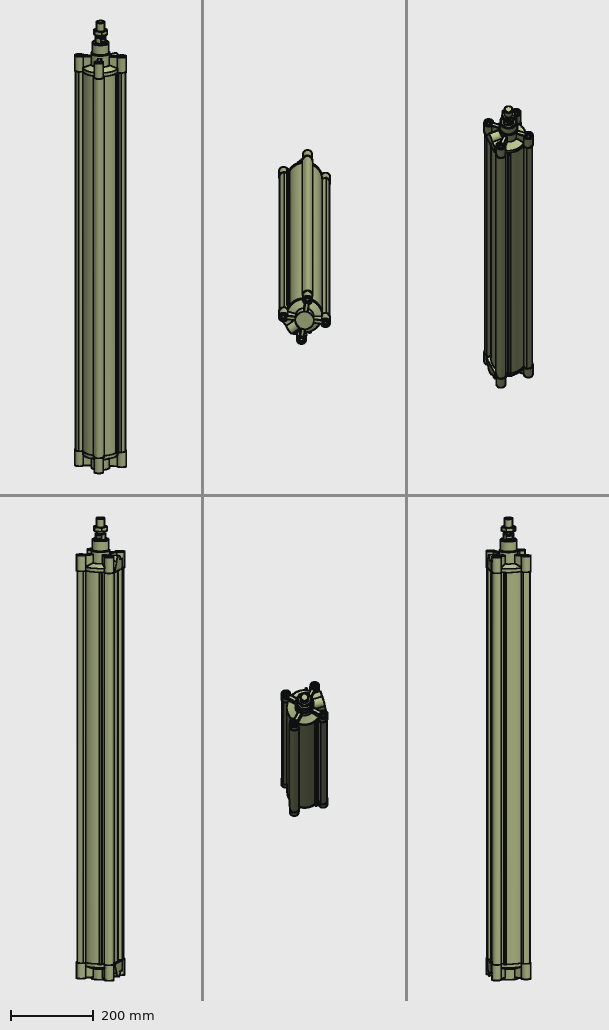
import cadquery as cq
import math

total_length = 1132.0
spigot_height = 5.0
cap_height = 39.0
front_cap_top = 1045.0
barrel_bottom = spigot_height + cap_height
barrel_top = front_cap_top - cap_height
barrel_length = barrel_top - barrel_bottom

envelope = 95.0
lug_diameter = 23.0
lug_center = (envelope - lug_diameter) / 2
screw_hole_diameter = 8.5
screw_hole_depth = 20.0
counterbore_diameter = 16.0
counterbore_depth = 3.0

barrel_width = 92.0
barrel_corner_radius = barrel_width / 2 - lug_center
tube_diameter = 85.0
opening_face_width = 54.0
opening_root_width = 48.0
opening_root = 34.0
rail_width = 5.0
rail_center = 17.0

hub_diameter = 45.0
flange_diameter = tube_diameter
flange_height = 9.0
cone_height = 8.0
rib_width = 10.0
rib_chamfer = 1.0
collar_diameter = 41.0
collar_height = 35.0
collar_foot_height = 9.0
collar_chamfer = 2.0
port_diameter = 25.0
port_offset = 2.0
port_top_drop = 2.0
shelf_reach = 24.0
shelf_start = 18.0
shelf_height = 25.0

rod_diameter = 25.0
thread_diameter = 20.0
thread_length = 37.0
rod_chamfer = 1.7
flats_width = 20.0
flats_height = 7.0
flats_bottom = 1084.0

nut_across_flats = 31.0
nut_height = 10.0
nut_bottom = 1101.0
nut_chamfer_angle = 30.0

lug_points = [(sx * lug_center, sy * lug_center) for sx in (-1, 1) for sy in (-1, 1)]


def make_barrel():
    """Tube with four corner columns and a rail along each X side."""
    square = (
        cq.Workplane("XY").rect(barrel_width, barrel_width).extrude(barrel_length)
        .edges("|Z").fillet(barrel_corner_radius)
    )
    face_y = barrel_width / 2
    opening = (
        cq.Workplane("XY")
        .polyline([
            (-opening_root_width / 2, 0),
            (-opening_root_width / 2, opening_root),
            (-opening_face_width / 2, face_y),
            (opening_face_width / 2, face_y),
            (opening_root_width / 2, opening_root),
            (opening_root_width / 2, 0),
        ])
        .close()
        .extrude(barrel_length)
    )
    columns = square
    for angle in (0, 90, 180, 270):
        columns = columns.cut(opening.rotate((0, 0, 0), (0, 0, 1), angle))
    tube = cq.Workplane("XY").circle(tube_diameter / 2).extrude(barrel_length)
    rails = (
        cq.Workplane("XY").center(0, rail_center)
        .rect(barrel_width, rail_width).extrude(barrel_length)
    )
    return columns.union(tube).union(rails).translate((0, 0, barrel_bottom))


def make_cap(hub_projection):
    """End cap from Z = 0 to cap_height, with a hub that stands proud by hub_projection."""
    hub = cq.Workplane("XY").circle(hub_diameter / 2).extrude(cap_height + hub_projection)
    flange_radius = flange_diameter / 2
    flange = (
        cq.Workplane("XZ")
        .polyline([
            (0, 0),
            (flange_radius, 0),
            (flange_radius, flange_height),
            (hub_diameter / 2, flange_height + cone_height),
            (0, flange_height + cone_height),
        ])
        .close()
        .revolve(360, (0, 0), (0, 1))
    )
    cap = hub.union(flange)
    rib_length = 2 * math.sqrt(2) * lug_center
    for angle in (45, 135):
        rib = (
            cq.Workplane("XY").rect(rib_length, rib_width).extrude(cap_height)
            .faces(">Z").edges("|X").chamfer(rib_chamfer)
        )
        cap = cap.union(rib.rotate((0, 0, 0), (0, 0, 1), angle))
    lugs = cq.Workplane("XY").pushPoints(lug_points).circle(lug_diameter / 2).extrude(cap_height)
    cap = cap.union(lugs).union(make_port_boss())
    end_face = cq.Workplane("XY", origin=(0, 0, cap_height)).pushPoints(lug_points)
    counterbores = end_face.circle(counterbore_diameter / 2).extrude(-counterbore_depth)
    screw_holes = end_face.circle(screw_hole_diameter / 2).extrude(-screw_hole_depth)
    return cap.cut(counterbores).cut(screw_holes)


def make_port_boss():
    """Round port boss along Y, flanked by a flat shelf and a sloping skirt."""
    radius = port_diameter / 2
    axis_height = cap_height - port_top_drop - radius
    depth = envelope / 2 - shelf_start
    start_plane = cq.Workplane("XZ", origin=(0, shelf_start, 0))
    boss = start_plane.center(port_offset, axis_height).circle(radius).extrude(-depth)
    base = (
        start_plane
        .polyline([
            (-shelf_reach, 0),
            (-shelf_reach, shelf_height),
            (port_offset + radius, shelf_height),
            (shelf_reach, flange_height),
            (shelf_reach, 0),
        ])
        .close()
        .extrude(-depth)
    )
    return boss.union(base)


def make_front_cap():
    """Cap with the rod collar on top and a through bore for the rod."""
    cap = make_cap(0).translate((0, 0, barrel_top))
    collar = (
        cq.Workplane("XY").workplane(offset=front_cap_top)
        .circle(hub_diameter / 2).extrude(collar_foot_height)
        .faces(">Z").chamfer(collar_chamfer)
        .faces(">Z").workplane()
        .circle(collar_diameter / 2).extrude(collar_height - collar_foot_height)
        .faces(">Z").chamfer(collar_chamfer)
    )
    rod_bore = (
        cq.Workplane("XY").workplane(offset=barrel_top)
        .circle(rod_diameter / 2).extrude(cap_height + collar_height)
    )
    return cap.union(collar).cut(rod_bore)


def make_rear_cap():
    """The same cap turned end for end, its hub projecting as a spigot."""
    return make_cap(spigot_height).mirror("XY").translate((0, 0, barrel_bottom))


def make_rod():
    """Rod with wrench flats across X and a thinner threaded end."""
    shoulder = total_length - thread_length
    rod = (
        cq.Workplane("XY").workplane(offset=barrel_top)
        .circle(rod_diameter / 2).extrude(shoulder - barrel_top)
        .faces(">Z").chamfer(rod_chamfer)
        .faces(">Z").workplane().circle(thread_diameter / 2).extrude(thread_length)
        .faces(">Z").chamfer(rod_chamfer)
    )
    flats = (
        cq.Workplane("XY").workplane(offset=flats_bottom)
        .rect(2 * rod_diameter, 2 * rod_diameter).rect(flats_width, 2 * rod_diameter)
        .extrude(flats_height)
    )
    return rod.cut(flats)


def make_nut():
    """Hexagonal lock nut, corners along Y, chamfered on both ends."""
    corner_diameter = nut_across_flats / math.cos(math.pi / 6)
    corner_radius = corner_diameter / 2
    flat_radius = nut_across_flats / 2
    chamfer_drop = (corner_radius - flat_radius) * math.tan(math.radians(nut_chamfer_angle))
    hexagon = (
        cq.Workplane("XY").polygon(6, corner_diameter).circle(thread_diameter / 2).extrude(nut_height)
        .rotate((0, 0, 0), (0, 0, 1), 90)
    )
    chamfered_round = (
        cq.Workplane("XZ")
        .polyline([
            (0, 0),
            (flat_radius, 0),
            (corner_radius, chamfer_drop),
            (corner_radius, nut_height - chamfer_drop),
            (flat_radius, nut_height),
            (0, nut_height),
        ])
        .close()
        .revolve(360, (0, 0), (0, 1))
    )
    return hexagon.intersect(chamfered_round).translate((0, 0, nut_bottom))


barrel = make_barrel()
front_cap = make_front_cap()
rear_cap = make_rear_cap()
rod = make_rod()
nut = make_nut()

result = cq.Compound.makeCompound([
    barrel.val(), front_cap.val(), rear_cap.val(), rod.val(), nut.val(),
])